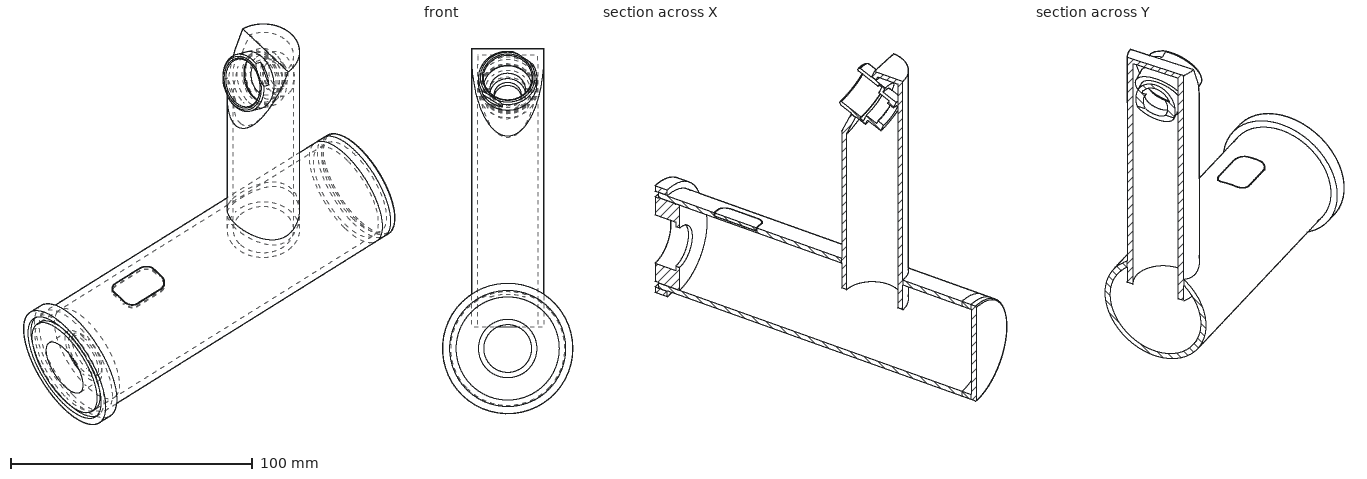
import cadquery as cq
import math

total_length = 157.0
body_radius = 24.0
body_wall = 2.7
body_bore_radius = body_radius - body_wall
flange_radius = 27.0
flange_length = 6.0
body_recess = 1.5

cap_length = 2.7
cap_chamfer = 0.5
band_length = 4.4
band_rear = total_length - cap_length
body_rear = band_rear - band_length

plug_length = 12.0
inlet_radius = 12.1
inlet_depth = 10.0
plug_bore_radius = 9.9

window_width = 13.8
window_length = 20.3
window_corner = 4.0
window_y = 39.2
window_thickness = 1.5
window_gap = 0.3

spout_y = 106.0
spout_diameter = 30.0
spout_radius = spout_diameter / 2
spout_wall = 2.5
spout_top = 124.0
spout_bottom = 9.0

face_tilt = 24.0
face_center = (0, 100.6, 109.6)

outlet_radius = 12.1
outlet_protrusion = 6.6
outlet_chamfer = 0.8
outlet_bore_chamfer = 0.5
outlet_bore_radius = 10.0
outlet_bore_depth = 11.0
undercut_radius = 11.0
undercut_depth = 12.5
middle_bore_radius = 7.4
middle_bore_depth = 18.0
outlet_hole_radius = 5.7
outlet_depth = 21.2
head_depth = 14.1
shank_radius = 9.4
flat_distance = 11.0
flat_length = 3.6
flat_angle = 35.0


def y_cylinder(radius, start, end):
    """Solid cylinder on the body axis between two Y positions."""
    return cq.Workplane("XZ", origin=(0, start, 0)).circle(radius).extrude(start - end)


def window_prism(clearance):
    """Upright prism with the window outline, widened by the clearance on every side."""
    return (
        cq.Workplane("XY")
        .center(0, window_y)
        .rect(window_width + 2 * clearance, window_length + 2 * clearance)
        .extrude(flange_radius)
        .edges("|Z")
        .fillet(window_corner + clearance)
    )


def outlet_plane(offset):
    """Plane parallel to the sloped spout face, offset outwards along its normal."""
    tilt = math.radians(face_tilt)
    normal = cq.Vector(0, -math.cos(tilt), math.sin(tilt))
    origin = cq.Vector(*face_center) + normal * offset
    return cq.Plane(origin=origin.toTuple(), xDir=(1, 0, 0), normal=normal.toTuple())


def outlet_cylinder(radius, start, end):
    """Cylinder on the outlet axis between two depths below the rim."""
    return cq.Workplane(outlet_plane(outlet_protrusion - start)).circle(radius).extrude(start - end)


def outlet_envelope():
    """Outside of the outlet fitting: a wide head and a narrower shank behind it."""
    head = outlet_cylinder(outlet_radius, 0, head_depth)
    return head.union(outlet_cylinder(shank_radius, head_depth, outlet_depth))


def sloped_column(radius, inset):
    """Upright column with a sloped top, its top and slope moved inwards by the inset."""
    column = (
        cq.Workplane("XY", origin=(0, spout_y, spout_bottom))
        .circle(radius)
        .extrude(spout_top - inset - spout_bottom)
    )
    beyond_slope = cq.Workplane(outlet_plane(-inset)).rect(spout_top, spout_top).extrude(spout_top)
    return column.cut(beyond_slope)


def make_flange():
    ring = y_cylinder(flange_radius, 0, flange_length)
    return ring.cut(y_cylinder(body_radius, 0, flange_length))


def make_window():
    shell = y_cylinder(body_radius, 0, body_rear)
    shell = shell.cut(y_cylinder(body_radius - window_thickness, 0, body_rear))
    return shell.intersect(window_prism(0))


def make_body():
    body = y_cylinder(body_radius, body_recess, body_rear)
    body = body.cut(y_cylinder(body_bore_radius, body_recess, body_rear))
    pocket = window_prism(window_gap).cut(y_cylinder(body_radius - window_thickness, 0, body_rear))
    spout_hole = cq.Workplane("XY").center(0, spout_y).circle(spout_radius).extrude(spout_top)
    return body.cut(pocket).cut(spout_hole)


def make_plug():
    plug = y_cylinder(body_bore_radius, 0, plug_length)
    plug = plug.cut(y_cylinder(inlet_radius, 0, inlet_depth))
    return plug.cut(y_cylinder(plug_bore_radius, 0, plug_length))


def make_band():
    ring = y_cylinder(body_radius, body_rear, band_rear)
    return ring.cut(y_cylinder(body_bore_radius, body_rear, band_rear))


def make_cap():
    return y_cylinder(body_radius, band_rear, total_length).faces(">Y").chamfer(cap_chamfer)


def make_spout():
    spout = sloped_column(spout_radius, 0)
    spout = spout.cut(sloped_column(spout_radius - spout_wall, spout_wall))
    return spout.cut(outlet_envelope())


def make_outlet():
    rim_selector = cq.selectors.DirectionMinMaxSelector(outlet_plane(0).zDir)
    outlet = outlet_envelope().faces(rim_selector).chamfer(outlet_chamfer)
    outlet = outlet.cut(outlet_cylinder(outlet_bore_radius, 0, outlet_bore_depth))
    outlet = outlet.faces(rim_selector).edges(cq.selectors.RadiusNthSelector(0)).chamfer(outlet_bore_chamfer)
    outlet = outlet.cut(outlet_cylinder(undercut_radius, outlet_bore_depth, undercut_depth))
    outlet = outlet.cut(outlet_cylinder(middle_bore_radius, undercut_depth, middle_bore_depth))
    outlet = outlet.cut(outlet_cylinder(outlet_hole_radius, middle_bore_depth, outlet_depth))
    for side in (1, -1):
        flat = (
            cq.Workplane(outlet_plane(outlet_protrusion))
            .transformed(rotate=(0, 0, -flat_angle))
            .center(0, side * (flat_distance + outlet_radius))
            .rect(2 * outlet_radius, 2 * outlet_radius)
            .extrude(-flat_length)
        )
        outlet = outlet.cut(flat)
    return outlet


flange = make_flange()
body = make_body()
plug = make_plug()
band = make_band()
cap = make_cap()
window = make_window()
spout = make_spout()
outlet = make_outlet()

bodies = (flange, body, plug, band, cap, window, spout, outlet)
result = cq.Compound.makeCompound([part.solids().val() for part in bodies])